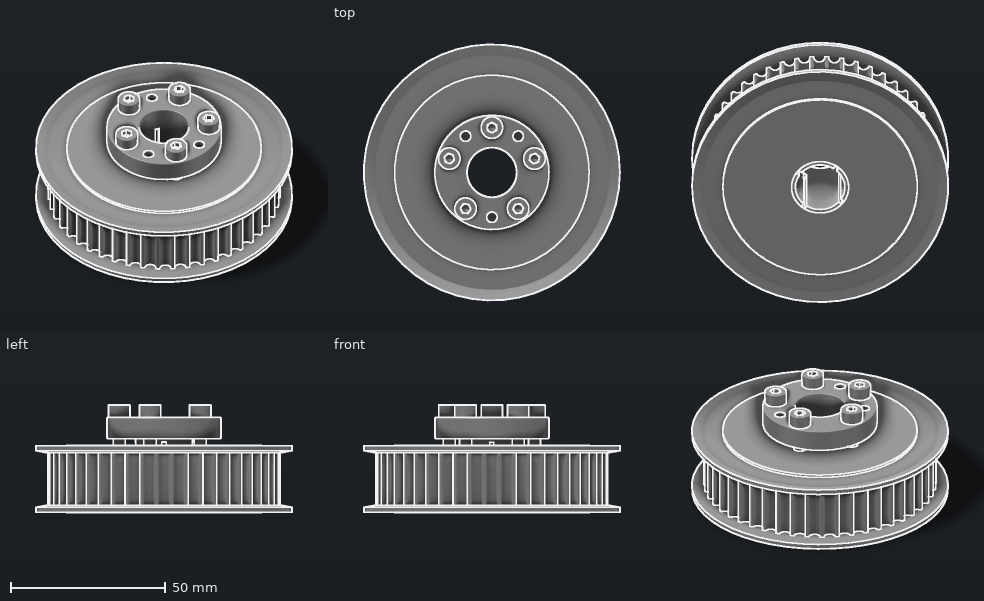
import cadquery as cq
import math

pulley_width = 22.0
tooth_count = 48
tooth_tip_radius = 37.65
groove_radius = 1.8
groove_centre_depth = 0.2
tooth_edge_radius = 0.3
shoulder_radius = 31.5
tooth_width = 17.0

flange_radius = 41.5
flange_bend_radius = 38.0
flange_thickness = 1.65
flange_flare = 0.65

clamp_radius = 18.5
clamp_thickness = 7.0
clamp_top = 31.0
clamp_edge_radius = 0.5
bore_radius = 8.0
bore_edge_radius = 0.5
sleeve_radius = 9.25
sleeve_root_radius = 0.25
slit_width = 1.3
slit_top = 22.9

bolt_circle_radius = 14.5
screw_count = 5
screw_start_angle = 90.0
jack_hole_angles = (54.0, 126.0, 270.0)
jack_hole_diameter = 3.4
shank_radius = 2.0
shank_length = 16.0
head_radius = 3.5
head_height = 4.0
head_edge_radius = 0.3
socket_across_flats = 3.0
socket_depth = 2.0
socket_cone_depth = 0.9

tooth_bottom = (pulley_width - tooth_width) / 2
tooth_top = tooth_bottom + tooth_width
clamp_bottom = clamp_top - clamp_thickness
screw_tip = clamp_top - shank_length
pitch_angle = 360.0 / tooth_count
screw_angles = [screw_start_angle + i * 360.0 / screw_count for i in range(screw_count)]


def polar(radius, angle):
    """Point at a radius and an angle in degrees."""
    return (radius * math.cos(math.radians(angle)), radius * math.sin(math.radians(angle)))


screw_points = [polar(bolt_circle_radius, angle) for angle in screw_angles]
jack_hole_points = [polar(bolt_circle_radius, angle) for angle in jack_hole_angles]


def cylinder(radius, bottom, top):
    return cq.Workplane("XY").workplane(offset=bottom).circle(radius).extrude(top - bottom)


def shank_holes():
    """Round cutters that match the screw shanks."""
    return (
        cq.Workplane("XY").workplane(offset=screw_tip)
        .pushPoints(screw_points).circle(shank_radius).extrude(shank_length)
    )


def toothed_outline():
    """Closed outline of round grooves, each blended into the tooth tips by small arcs."""
    groove_centre = tooth_tip_radius - groove_centre_depth
    edge_centre = tooth_tip_radius - tooth_edge_radius
    centre_distance = groove_radius + tooth_edge_radius
    spread = math.degrees(math.acos(
        (groove_centre**2 + edge_centre**2 - centre_distance**2) / (2 * groove_centre * edge_centre)
    ))

    def groove_points(axis_angle):
        gx, gy = polar(groove_centre, axis_angle)

        def edge_points(side):
            angle = axis_angle + side * spread
            ex, ey = polar(edge_centre, angle)
            share = tooth_edge_radius / centre_distance
            tangent = (ex + (gx - ex) * share, ey + (gy - ey) * share)
            tip = polar(tooth_tip_radius, angle)
            bulge = (tip[0] + tangent[0] - 2 * ex, tip[1] + tangent[1] - 2 * ey)
            stretch = tooth_edge_radius / math.hypot(*bulge)
            return tip, (ex + bulge[0] * stretch, ey + bulge[1] * stretch), tangent

        floor = polar(groove_centre - groove_radius, axis_angle)
        return edge_points(-1), floor, edge_points(1)

    outline = cq.Workplane("XY").workplane(offset=tooth_bottom)
    outline = outline.moveTo(*groove_points(0)[0][0])
    for i in range(tooth_count):
        axis_angle = i * pitch_angle
        entry, floor, leave = groove_points(axis_angle)
        outline = outline.threePointArc(entry[1], entry[2])
        outline = outline.threePointArc(floor, leave[2])
        outline = outline.threePointArc(leave[1], leave[0])
        next_tip = groove_points(axis_angle + pitch_angle)[0][0]
        outline = outline.threePointArc(polar(tooth_tip_radius, axis_angle + pitch_angle / 2), next_tip)
    return outline.close()


def make_pulley():
    pulley = toothed_outline().extrude(tooth_width)
    pulley = pulley.union(cylinder(shoulder_radius, 0, pulley_width))
    pulley = pulley.cut(cylinder(sleeve_radius, 0, pulley_width))
    return pulley.cut(shank_holes())


def make_top_flange():
    """Flat ring seated on the tooth ends, flaring outward at its rim."""
    profile = [
        (shoulder_radius, tooth_top),
        (flange_bend_radius, tooth_top),
        (flange_radius, tooth_top + flange_flare),
        (flange_radius, tooth_top + flange_flare + flange_thickness),
        (flange_bend_radius, tooth_top + flange_thickness),
        (shoulder_radius, tooth_top + flange_thickness),
    ]
    return cq.Workplane("XZ").polyline(profile).close().revolve(360, (0, 0), (0, 1))


def make_bottom_flange():
    return make_top_flange().mirror("XY", (0, 0, pulley_width / 2))


def make_hub():
    """Clamp ring with a slit sleeve that reaches through the pulley."""
    hub = (
        cq.Workplane("XZ")
        .moveTo(bore_radius, 0)
        .lineTo(sleeve_radius, 0)
        .lineTo(sleeve_radius, clamp_bottom - sleeve_root_radius)
        .radiusArc((sleeve_radius + sleeve_root_radius, clamp_bottom), sleeve_root_radius)
        .lineTo(clamp_radius - clamp_edge_radius, clamp_bottom)
        .radiusArc((clamp_radius, clamp_bottom + clamp_edge_radius), -clamp_edge_radius)
        .lineTo(clamp_radius, clamp_top - clamp_edge_radius)
        .radiusArc((clamp_radius - clamp_edge_radius, clamp_top), -clamp_edge_radius)
        .lineTo(bore_radius + bore_edge_radius, clamp_top)
        .radiusArc((bore_radius, clamp_top - bore_edge_radius), -bore_edge_radius)
        .close()
        .revolve(360, (0, 0), (0, 1))
    )
    slit_length = 2 * (sleeve_radius + sleeve_root_radius)
    for length_x, length_y in ((slit_length, slit_width), (slit_width, slit_length)):
        hub = hub.cut(cq.Workplane("XY").rect(length_x, length_y).extrude(slit_top))
    hub = hub.cut(shank_holes())
    jack_holes = (
        cq.Workplane("XY").workplane(offset=clamp_bottom)
        .pushPoints(jack_hole_points).circle(jack_hole_diameter / 2).extrude(clamp_thickness)
    )
    return hub.cut(jack_holes)


def make_screw(angle):
    """Socket head cap screw at the given angle on the bolt circle."""
    head_top = clamp_top + head_height
    socket_radius = socket_across_flats / math.sqrt(3)
    screw = cylinder(head_radius, clamp_top, head_top).faces(">Z").edges().fillet(head_edge_radius)
    screw = screw.union(cylinder(shank_radius, screw_tip, clamp_top))
    socket = (
        cq.Workplane("XY").workplane(offset=head_top)
        .polygon(6, 2 * socket_radius).extrude(-socket_depth)
    )
    socket_point = cq.Workplane("XY").add(cq.Solid.makeCone(
        socket_across_flats / 2, 0, socket_cone_depth,
        pnt=cq.Vector(0, 0, head_top - socket_depth), dir=cq.Vector(0, 0, -1),
    ))
    screw = screw.cut(socket).cut(socket_point)
    screw = screw.translate((bolt_circle_radius, 0, 0))
    return screw.rotate((0, 0, 0), (0, 0, 1), angle)


pulley = make_pulley()
top_flange = make_top_flange()
bottom_flange = make_bottom_flange()
hub = make_hub()
screws = [make_screw(angle) for angle in screw_angles]

result = cq.Compound.makeCompound([
    pulley.val(),
    top_flange.val(),
    bottom_flange.val(),
    hub.val(),
    *[screw.val() for screw in screws],
])